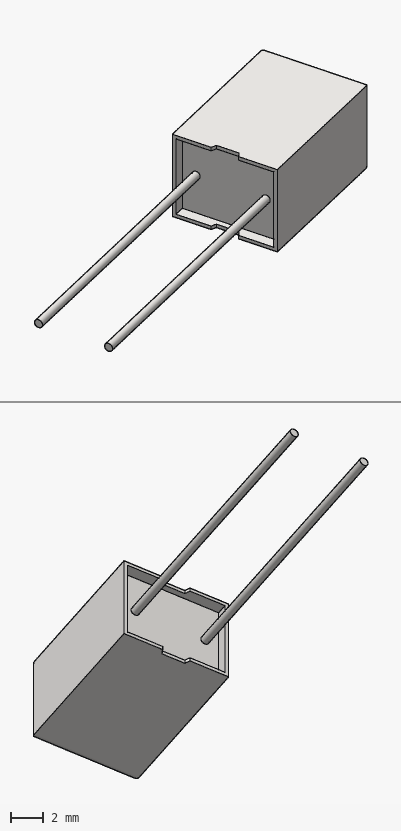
import cadquery as cq

total_length = 29.1
case_width = 7.5
case_height = 6.1
case_length = 11.05

wall = 0.25
back_edge_radius = 0.5
notch_mouth_width = 1.95
notch_floor_width = 1.63
notch_depth = 0.35

filling_recess = 0.75
lead_diameter = 0.58
lead_pitch = 5.0

cavity_width = case_width - 2 * wall
cavity_height = case_height - 2 * wall
cavity_depth = case_length - wall
lead_tip_y = case_length - total_length


def box_along_y(width, height, front_y, back_y):
    """Box centred on the Y axis between two Y positions."""
    return (
        cq.Workplane("XY")
        .box(width, back_y - front_y, height, centered=(True, False, True))
        .translate((0, front_y, 0))
    )


def make_notch():
    """Tapered cut through the middle of the top and bottom front rims."""
    return (
        cq.Workplane("XY")
        .polyline([
            (-notch_mouth_width / 2, 0),
            (notch_mouth_width / 2, 0),
            (notch_floor_width / 2, notch_depth),
            (-notch_floor_width / 2, notch_depth),
        ])
        .close()
        .extrude(case_height / 2, both=True)
    )


def make_case():
    """Open-fronted box with rounded back edges and notched rims."""
    outside = box_along_y(case_width, case_height, 0, case_length)
    outside = outside.faces(">Y").edges().fillet(back_edge_radius)
    cavity = box_along_y(cavity_width, cavity_height, 0, cavity_depth)
    return outside.cut(cavity).cut(make_notch())


def make_filling():
    """Block that fills the cavity behind the recessed front face."""
    return box_along_y(cavity_width, cavity_height, filling_recess, cavity_depth)


def make_lead(x):
    """Round wire from the front face of the filling to the tip."""
    return (
        cq.Workplane("XZ", origin=(x, filling_recess, 0))
        .circle(lead_diameter / 2)
        .extrude(filling_recess - lead_tip_y)
    )


case = make_case()
filling = make_filling()

leads = []
for side in (-1, 1):
    leads.append(make_lead(side * lead_pitch / 2).val())

result = cq.Compound.makeCompound([case.val(), filling.val(), *leads])